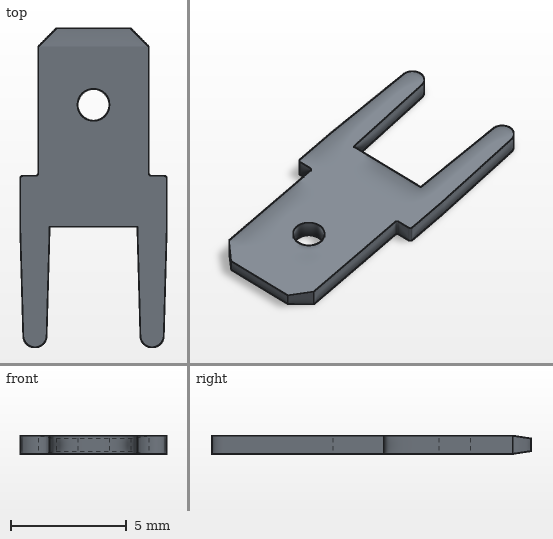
import cadquery as cq

length = 13.8
body_width = 6.35
thickness = 0.8

blade_width = 4.79
shoulder_y = 7.42
shoulder_outer_radius = 0.12
shoulder_inner_radius = 0.1

tip_width = 3.2
tip_thickness = 0.55
tip_length = 0.8

hole_diameter = 1.37
hole_y = 10.49

notch_width = 3.78
notch_y = 5.22
leg_end_width = 1.02

half_body = body_width / 2
half_blade = blade_width / 2
half_notch = notch_width / 2
half_tip = tip_width / 2
bevel_y = length - tip_length
leg_x = (half_body + half_notch) / 2
leg_end_radius = leg_end_width / 2


def make_half_plate():
    """Right half of the plate, with one tapered round-ended leg."""
    half = (
        cq.Workplane("XY")
        .moveTo(0, notch_y)
        .lineTo(half_notch, notch_y)
        .lineTo(leg_x - leg_end_radius, leg_end_radius)
        .threePointArc((leg_x, 0), (leg_x + leg_end_radius, leg_end_radius))
        .lineTo(half_body, notch_y)
        .lineTo(half_body, shoulder_y)
        .lineTo(half_blade, shoulder_y)
        .lineTo(half_blade, bevel_y)
        .lineTo(half_tip, length)
        .lineTo(0, length)
        .close()
        .extrude(thickness / 2, both=True)
    )
    for corner_x, radius in (
        (half_body, shoulder_outer_radius),
        (half_blade, shoulder_inner_radius),
    ):
        corner = cq.selectors.NearestToPointSelector((corner_x, shoulder_y, 0))
        half = half.edges("|Z").edges(corner).fillet(radius)
    return half


def make_side_profile():
    """Full-width body whose thickness tapers evenly towards the blade tip."""
    return (
        cq.Workplane("YZ")
        .moveTo(0, -thickness / 2)
        .lineTo(bevel_y, -thickness / 2)
        .lineTo(length, -tip_thickness / 2)
        .lineTo(length, tip_thickness / 2)
        .lineTo(bevel_y, thickness / 2)
        .lineTo(0, thickness / 2)
        .close()
        .extrude(half_body, both=True)
    )


half_plate = make_half_plate()
plate = half_plate.union(half_plate.mirror("YZ")).clean()
hole = (
    cq.Workplane("XY")
    .center(0, hole_y)
    .circle(hole_diameter / 2)
    .extrude(thickness / 2, both=True)
)

result = plate.intersect(make_side_profile()).cut(hole)